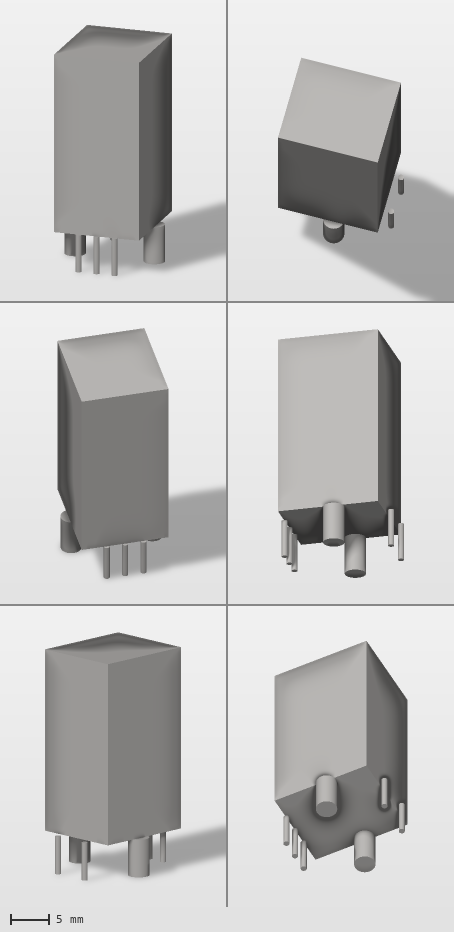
import cadquery as cq

total_height = 29.6
leg_length = 5.1
block_height = total_height - leg_length

block_width = 11.75
block_depth = 13.6

post_diameter = 2.8
post_spacing = 10.98

pin_diameter = 0.8
pin_pitch = 2.5
front_row_y = -7.5
back_row_y = 7.02
front_row_x = [-pin_pitch, 0, pin_pitch]
back_row_x = [-pin_pitch, pin_pitch]

block_centre_y = front_row_y + block_depth / 2

def make_block():
    """Plain rectangular housing standing on top of the legs."""
    return (
        cq.Workplane("XY", origin=(0, block_centre_y, leg_length))
        .rect(block_width, block_depth)
        .extrude(block_height)
    )

def make_leg(diameter, x, y):
    """Round vertical leg from the tips up to the underside of the block."""
    return cq.Workplane("XY", origin=(x, y, 0)).circle(diameter / 2).extrude(leg_length)

def make_post(x):
    """Thick locating post."""
    return make_leg(post_diameter, x, 0)

def make_pin(x, y):
    """Thin contact pin."""
    return make_leg(pin_diameter, x, y)

block = make_block()
posts = [make_post(side * post_spacing / 2) for side in (-1, 1)]
front_pins = [make_pin(x, front_row_y) for x in front_row_x]
back_pins = [make_pin(x, back_row_y) for x in back_row_x]

bodies = [block, *posts, *front_pins, *back_pins]
result = cq.Compound.makeCompound([body.val() for body in bodies])